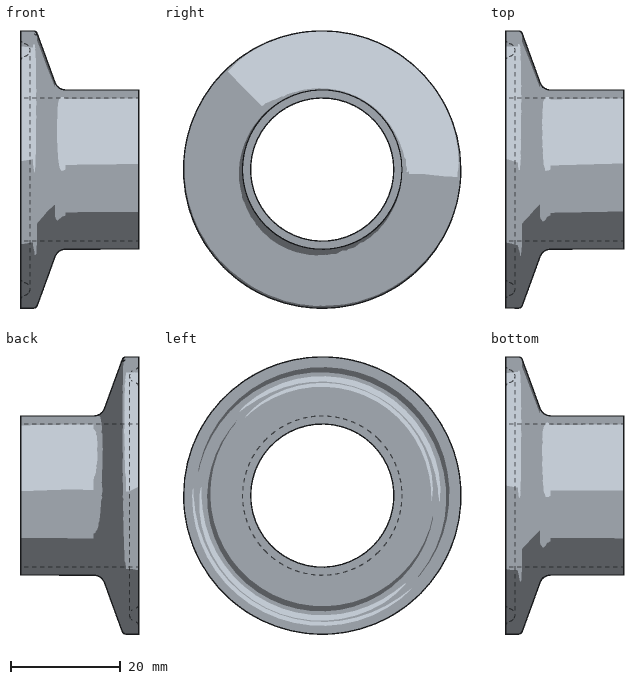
import cadquery as cq
import math

overall_length = 21.5
flange_diameter = 50.5
tube_diameter = 29.0
bore_diameter = 26.0
rim_thickness = 2.85
cone_angle = 20.0
rim_fillet = 0.8
neck_fillet = 2.0

groove_diameter = 43.5
groove_width = 4.0
groove_lip_radius = 0.8
groove_flank_angle = math.radians(20.0)
groove_flank_length = 0.4

flange_radius = flange_diameter / 2
tube_radius = tube_diameter / 2
bore_radius = bore_diameter / 2
cone_length = (flange_radius - tube_radius) * math.tan(math.radians(cone_angle))
neck_x = rim_thickness + cone_length


def make_body():
    """Flange, cone and tube with the bore, turned about X."""
    return (
        cq.Workplane("XY")
        .moveTo(0, bore_radius)
        .lineTo(0, flange_radius)
        .lineTo(rim_thickness, flange_radius)
        .lineTo(neck_x, tube_radius)
        .lineTo(overall_length, tube_radius)
        .lineTo(overall_length, bore_radius)
        .close()
        .revolve(360, (0, 0, 0), (1, 0, 0))
    )


def fillet_ring(body, x, radius, fillet_radius):
    """Round the circular edge that lies at the given X and radius."""
    margin = 0.01
    reach = radius + margin
    ring = cq.selectors.BoxSelector(
        (x - margin, -reach, -reach),
        (x + margin, reach, reach),
        boundingbox=True,
    )
    return body.edges(ring).fillet(fillet_radius)


def make_groove():
    """Ring of material that the gasket groove removes."""
    middle = groove_diameter / 2
    half_width = groove_width / 2
    sine = math.sin(groove_flank_angle)
    cosine = math.cos(groove_flank_angle)

    lip_mid_angle = (math.pi / 2 + groove_flank_angle) / 2
    lip_mid_x = groove_lip_radius * (1 - math.sin(lip_mid_angle))
    lip_mid_offset = half_width - groove_lip_radius * math.cos(lip_mid_angle)
    lip_end_x = groove_lip_radius * (1 - sine)
    lip_end_offset = half_width - groove_lip_radius * cosine

    flank_end_x = lip_end_x + groove_flank_length * cosine
    flank_end_offset = lip_end_offset - groove_flank_length * sine
    bottom_radius = flank_end_offset / cosine
    bottom_x = flank_end_x + bottom_radius * (1 - sine)

    return (
        cq.Workplane("XY")
        .moveTo(0, middle + half_width)
        .threePointArc((lip_mid_x, middle + lip_mid_offset), (lip_end_x, middle + lip_end_offset))
        .lineTo(flank_end_x, middle + flank_end_offset)
        .threePointArc((bottom_x, middle), (flank_end_x, middle - flank_end_offset))
        .lineTo(lip_end_x, middle - lip_end_offset)
        .threePointArc((lip_mid_x, middle - lip_mid_offset), (0, middle - half_width))
        .close()
        .revolve(360, (0, 0, 0), (1, 0, 0))
    )


ferrule = make_body()
ferrule = fillet_ring(ferrule, rim_thickness, flange_radius, rim_fillet)
ferrule = fillet_ring(ferrule, neck_x, tube_radius, neck_fillet)
result = ferrule.cut(make_groove())